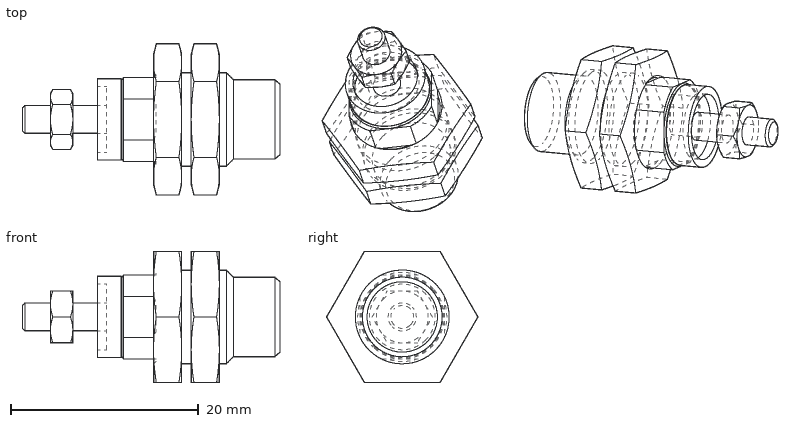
import cadquery as cq
import math

TOTAL_LENGTH = 27.5

ROD_DIAMETER = 3.0
ROD_TIP_CHAMFER = 0.28
ROD_NUT_START = 3.0
ROD_NUT_THICKNESS = 2.4
ROD_NUT_ACROSS_FLATS = 5.55
ROD_NUT_CHAMFER_ANGLE = 30.0

COLLAR_START = 8.0
COLLAR_DIAMETER = 8.7
COLLAR_END = 10.53
GROOVE_DIAMETER = 8.5
GROOVE_BOTTOM = 10.65
GROOVE_REAR_DIAMETER = 8.95
THREAD_START = 10.78
THREAD_DIAMETER = 10.0
THREAD_CHAMFER_START = 21.75
SLEEVE_DIAMETER = 8.5
SLEEVE_CHAMFER_LENGTH = 0.58
SLEEVE_CHAMFER_DEPTH = 0.5
RECESS_DIAMETER = 7.0
RECESS_DEPTH = 1.0

FLATS_DISTANCE = 9.0

NUT_STARTS = (14.0, 18.0)
NUT_THICKNESS = 3.0
NUT_ACROSS_FLATS = 14.0
NUT_CHAMFER_ANGLE = 15.0
COUNTERSINK_DEPTH = 0.25


def cylinder(diameter, start, end):
    """Solid cylinder on the X axis between two X positions."""
    return cq.Workplane("YZ", origin=(start, 0, 0)).circle(diameter / 2).extrude(end - start)


def hex_nut(start, thickness, across_flats, chamfer_angle):
    """Solid hexagon with corners along Y, its corners turned down by cones at both faces."""
    across_corners = across_flats / math.cos(math.radians(30))
    flat_radius = across_flats / 2
    corner_radius = across_corners / 2
    drop = (corner_radius - flat_radius) * math.tan(math.radians(chamfer_angle))
    end = start + thickness
    hexagon = cq.Workplane("YZ", origin=(start, 0, 0)).polygon(6, across_corners).extrude(thickness)
    turned_blank = (
        cq.Workplane("XY")
        .moveTo(start, 0)
        .lineTo(start, flat_radius)
        .lineTo(start + drop, corner_radius)
        .lineTo(end - drop, corner_radius)
        .lineTo(end, flat_radius)
        .lineTo(end, 0)
        .close()
        .revolve(360, (0, 0, 0), (1, 0, 0))
    )
    return hexagon.intersect(turned_blank)


def make_rod():
    """Chamfered rod carrying its nut, ending on the floor of the housing recess."""
    rod = cylinder(ROD_DIAMETER, 0, COLLAR_START + RECESS_DEPTH).faces("<X").chamfer(ROD_TIP_CHAMFER)
    rod_nut = hex_nut(ROD_NUT_START, ROD_NUT_THICKNESS, ROD_NUT_ACROSS_FLATS, ROD_NUT_CHAMFER_ANGLE)
    return rod.union(rod_nut)


def make_housing_core():
    """Turned shape of the housing, including the recess around the rod."""
    collar_radius = COLLAR_DIAMETER / 2
    thread_radius = THREAD_DIAMETER / 2
    sleeve_radius = SLEEVE_DIAMETER / 2
    recess_radius = RECESS_DIAMETER / 2
    recess_floor = COLLAR_START + RECESS_DEPTH
    sleeve_start = THREAD_CHAMFER_START + thread_radius - sleeve_radius
    return (
        cq.Workplane("XY")
        .moveTo(recess_floor, 0)
        .lineTo(recess_floor, recess_radius)
        .lineTo(COLLAR_START, recess_radius)
        .lineTo(COLLAR_START, collar_radius)
        .lineTo(COLLAR_END, collar_radius)
        .lineTo(GROOVE_BOTTOM, GROOVE_DIAMETER / 2)
        .lineTo(THREAD_START, GROOVE_REAR_DIAMETER / 2)
        .lineTo(THREAD_START, thread_radius)
        .lineTo(THREAD_CHAMFER_START, thread_radius)
        .lineTo(sleeve_start, sleeve_radius)
        .lineTo(TOTAL_LENGTH - SLEEVE_CHAMFER_LENGTH, sleeve_radius)
        .lineTo(TOTAL_LENGTH, sleeve_radius - SLEEVE_CHAMFER_DEPTH)
        .lineTo(TOTAL_LENGTH, 0)
        .close()
        .revolve(360, (0, 0, 0), (1, 0, 0))
    )


def make_flat_cutter():
    """Material outside the four flats, running to the bottom of the first nut's countersink."""
    thread_radius = THREAD_DIAMETER / 2
    first_nut = NUT_STARTS[0]
    countersink_end = first_nut + COUNTERSINK_DEPTH
    envelope = (
        cq.Workplane("XY")
        .moveTo(THREAD_START, 0)
        .lineTo(THREAD_START, thread_radius)
        .lineTo(first_nut, thread_radius)
        .lineTo(countersink_end, thread_radius - COUNTERSINK_DEPTH)
        .lineTo(countersink_end, 0)
        .close()
        .revolve(360, (0, 0, 0), (1, 0, 0))
    )
    square = (
        cq.Workplane("YZ", origin=(THREAD_START, 0, 0))
        .rect(FLATS_DISTANCE, FLATS_DISTANCE)
        .extrude(countersink_end - THREAD_START)
    )
    return envelope.cut(square)


def make_housing():
    """Housing with both large nuts and the wrench flats as one solid."""
    housing = make_housing_core()
    for start in NUT_STARTS:
        housing = housing.union(hex_nut(start, NUT_THICKNESS, NUT_ACROSS_FLATS, NUT_CHAMFER_ANGLE))
    return housing.cut(make_flat_cutter())


housing = make_housing()
rod = make_rod()

result = cq.Compound.makeCompound([housing.val(), rod.val()])